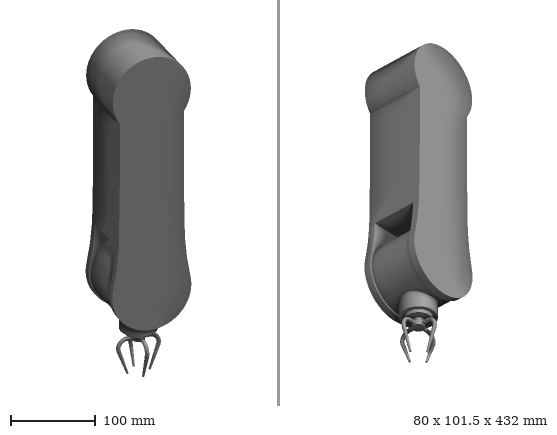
import cadquery as cq
import math


overall_height = 432
overall_depth = 101.5
arm_width = 80.0
shoulder_radius = 50.0
shoulder_height = 258.0
wrist_end_radius = overall_depth / 2
beam_half_depth = 41.0
taper_top = 149.5
flare_top = 90.5
flare_half_depth = 42.0
flare_end_angle = math.radians(12)
flare_end_y = wrist_end_radius * math.cos(flare_end_angle)
flare_end_z = wrist_end_radius * math.sin(flare_end_angle)

slot_width = 61.5
slot_top = 64.0
barrel_radius = 48.0

neck_radius = 23.0
neck_bottom = -66.5
flange_radius = 17.7
flange_bottom = -71.5
hub_radius = 7.8
hub_bottom = -81.3

finger_count = 4
finger_radius = 2.5
finger_tip_radius = 1.5
finger_axis_z = -78.0
finger_bend_start = 14.5
finger_bend_radius = 11.2
finger_lean = math.radians(20)
tip_bottom = shoulder_height + shoulder_radius - overall_height


def make_arm():
    """Waisted plate with round ends, slotted at the bottom to form a fork."""
    shoulder_join_z = shoulder_height - math.sqrt(shoulder_radius**2 - beam_half_depth**2)
    chord_y = flare_end_y - flare_half_depth
    chord_z = flare_end_z - flare_top
    chord = math.hypot(chord_y, chord_z)
    chord_angle = math.atan2(chord_y, -chord_z)
    sagitta = chord / 2 * math.tan((flare_end_angle - chord_angle) / 2)
    flare_mid_y = (flare_half_depth + flare_end_y) / 2 + sagitta * chord_z / chord
    flare_mid_z = (flare_top + flare_end_z) / 2 - sagitta * chord_y / chord

    profile = (
        cq.Workplane("YZ", origin=(-arm_width / 2, 0, 0))
        .moveTo(beam_half_depth, shoulder_join_z)
        .lineTo(beam_half_depth, taper_top)
        .lineTo(flare_half_depth, flare_top)
        .threePointArc((flare_mid_y, flare_mid_z), (flare_end_y, flare_end_z))
        .threePointArc((0, -wrist_end_radius), (-flare_end_y, flare_end_z))
        .threePointArc((-flare_mid_y, flare_mid_z), (-flare_half_depth, flare_top))
        .lineTo(-beam_half_depth, taper_top)
        .lineTo(-beam_half_depth, shoulder_join_z)
        .threePointArc((0, shoulder_height + shoulder_radius), (beam_half_depth, shoulder_join_z))
        .close()
    )
    slot_bottom = -2 * wrist_end_radius
    slot = cq.Workplane("XY", origin=(0, 0, slot_bottom)).box(
        slot_width, 4 * wrist_end_radius, slot_top - slot_bottom, centered=(True, True, False)
    )
    return profile.extrude(arm_width).cut(slot)


def make_finger():
    """Round finger in the XZ plane: a straight root, a bend and a tapered, inward-leaning tip."""
    turn = math.pi / 2 + finger_lean
    bend_center_z = finger_axis_z - finger_bend_radius

    def bend_point(angle):
        return (
            finger_bend_start + finger_bend_radius * math.sin(angle),
            bend_center_z + finger_bend_radius * math.cos(angle),
        )

    bend_end_x, bend_end_z = bend_point(turn)
    path = (
        cq.Workplane("XZ")
        .moveTo(0, finger_axis_z)
        .lineTo(finger_bend_start, finger_axis_z)
        .threePointArc(bend_point(turn / 2), (bend_end_x, bend_end_z))
    )
    tube = cq.Workplane("YZ", origin=(0, 0, finger_axis_z)).circle(finger_radius).sweep(path)

    tip_drop = bend_end_z - tip_bottom - finger_tip_radius * math.sin(finger_lean)
    tip = cq.Solid.makeCone(
        finger_radius,
        finger_tip_radius,
        tip_drop / math.cos(finger_lean),
        cq.Vector(bend_end_x, 0, bend_end_z),
        cq.Vector(-math.sin(finger_lean), 0, -math.cos(finger_lean)),
    )
    return tube.union(cq.Workplane(tip))


def make_gripper():
    """Wrist barrel with a stepped neck, a hub and evenly spaced fingers."""
    gripper = cq.Workplane("YZ", origin=(-slot_width / 2, 0, 0)).circle(barrel_radius).extrude(slot_width)
    steps = [(neck_radius, neck_bottom), (flange_radius, flange_bottom), (hub_radius, hub_bottom)]
    for radius, bottom in steps:
        gripper = gripper.union(cq.Workplane("XY").circle(radius).extrude(bottom))
    finger = make_finger()
    for index in range(finger_count):
        angle = index * 360 / finger_count
        gripper = gripper.union(finger.rotate((0, 0, 0), (0, 0, 1), angle))
    return gripper


arm = make_arm()
gripper = make_gripper()
result = cq.Compound.makeCompound([arm.solids().val(), gripper.solids().val()])